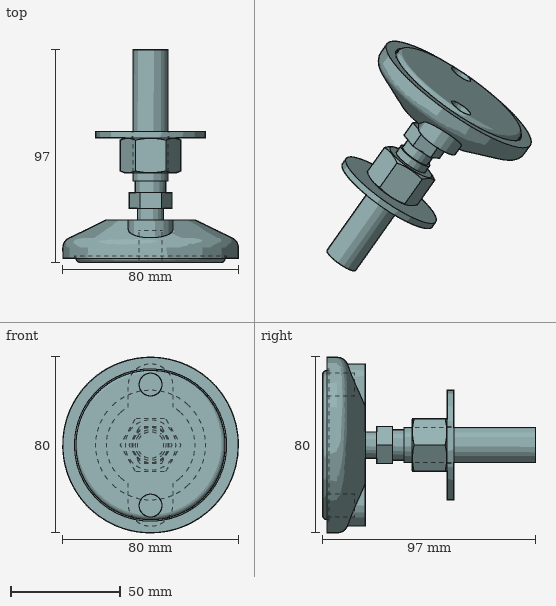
import cadquery as cq
import math

total_height = 97.0

foot_diameter = 80.0
sole_diameter = 68.0
sole_projection = 1.9
sole_round = 2.0
groove_diameter = 69.4
groove_depth = 1.0
plateau_height = 19.5
plateau_diameter = 40.4
cone_angle = 26.0
shoulder_round = 4.9

lug_width = 20.4
lug_reach = 37.0
hole_offset = 27.5
lug_base_height = 7.8
hole_diameter = 10.4
hole_depth = 14.55

neck_diameter = 12.0
shank_diameter = 14.0
thread_diameter = 16.0
stud_hex_flats = 17.0
stud_hex_bottom = 24.6
stud_hex_height = 7.3
thread_start = 37.1

nut_flats = 24.0
nut_bottom = 40.7
nut_height = 16.0
nut_face_diameter = 23.0
nut_chamfer_angle = 22.0
washer_diameter = 50.1
washer_bore = 17.0
washer_thickness = 3.0


def corner_diameter(flats):
    return flats / math.cos(math.pi / 6)


def level(height):
    """XZ plane at a height, extruding toward +Y with +Z as its local Y."""
    plane = cq.Plane(origin=(0, height, 0), xDir=(-1, 0, 0), normal=(0, 1, 0))
    return cq.Workplane(plane)


def disc(diameter, bottom, top):
    return level(bottom).circle(diameter / 2).extrude(top - bottom)


def hexagon(flats, bottom, top):
    """Hexagonal prism with two corners on the X axis."""
    return level(bottom).polygon(6, corner_diameter(flats)).extrude(top - bottom)


def revolved(points):
    """Turn a closed (radius, height) outline about the Y axis."""
    return cq.Workplane("XY").polyline(points).close().revolve(360, (0, 0, 0), (0, 1, 0))


def make_foot_shell():
    rim_radius = foot_diameter / 2
    plateau_radius = plateau_diameter / 2
    cone_drop = (rim_radius - plateau_radius) * math.tan(math.radians(cone_angle))
    shoulder_height = plateau_height - cone_drop
    shell = revolved([
        (0, sole_projection),
        (rim_radius, sole_projection),
        (rim_radius, shoulder_height),
        (plateau_radius, plateau_height),
        (0, plateau_height),
    ])
    shoulder = cq.selectors.BoxSelector(
        (-foot_diameter, shoulder_height - 0.1, -foot_diameter),
        (foot_diameter, shoulder_height + 0.1, foot_diameter),
    )
    return shell.edges(shoulder).fillet(shoulder_round)


def make_foot():
    foot = make_foot_shell()

    half_width = lug_width / 2
    lugs = (
        level(lug_base_height)
        .moveTo(-half_width, -hole_offset)
        .lineTo(-half_width, hole_offset)
        .threePointArc((0, lug_reach), (half_width, hole_offset))
        .lineTo(half_width, -hole_offset)
        .threePointArc((0, -lug_reach), (-half_width, -hole_offset))
        .close()
        .extrude(plateau_height - lug_base_height)
    )
    foot = foot.union(lugs)

    groove_top = sole_projection + groove_depth
    sole = disc(sole_diameter, 0, groove_top).faces("<Y").edges().fillet(sole_round)
    foot = foot.cut(disc(groove_diameter, sole_projection, groove_top)).union(sole)

    for side in (-1, 1):
        hole = level(0).center(0, side * hole_offset).circle(hole_diameter / 2).extrude(hole_depth)
        foot = foot.cut(hole)
    return foot


def make_stud():
    """Stud standing on the foot plateau, with a wrench hexagon."""
    stud_hex_top = stud_hex_bottom + stud_hex_height
    neck = disc(neck_diameter, plateau_height, stud_hex_bottom)
    wrench_hex = hexagon(stud_hex_flats, stud_hex_bottom, stud_hex_top)
    shank = disc(shank_diameter, stud_hex_top, thread_start)
    thread = disc(thread_diameter, thread_start, total_height)
    return neck.union(wrench_hex).union(shank).union(thread)


def make_nut():
    nut_top = nut_bottom + nut_height
    face_radius = nut_face_diameter / 2
    corner_radius = corner_diameter(nut_flats) / 2
    chamfer_height = (corner_radius - face_radius) * math.tan(math.radians(nut_chamfer_angle))
    chamfer_envelope = revolved([
        (0, nut_bottom),
        (face_radius, nut_bottom),
        (corner_radius, nut_bottom + chamfer_height),
        (corner_radius, nut_top - chamfer_height),
        (face_radius, nut_top),
        (0, nut_top),
    ])
    nut = hexagon(nut_flats, nut_bottom, nut_top).intersect(chamfer_envelope)
    return nut.cut(disc(thread_diameter, nut_bottom, nut_top))


def make_washer():
    washer_bottom = nut_bottom + nut_height
    washer_top = washer_bottom + washer_thickness
    washer = disc(washer_diameter, washer_bottom, washer_top)
    return washer.cut(disc(washer_bore, washer_bottom, washer_top))


foot = make_foot()
stud = make_stud()
nut = make_nut()
washer = make_washer()

bodies = [body.translate((0, -total_height / 2, 0)).val() for body in (foot, stud, nut, washer)]
result = cq.Compound.makeCompound(bodies)